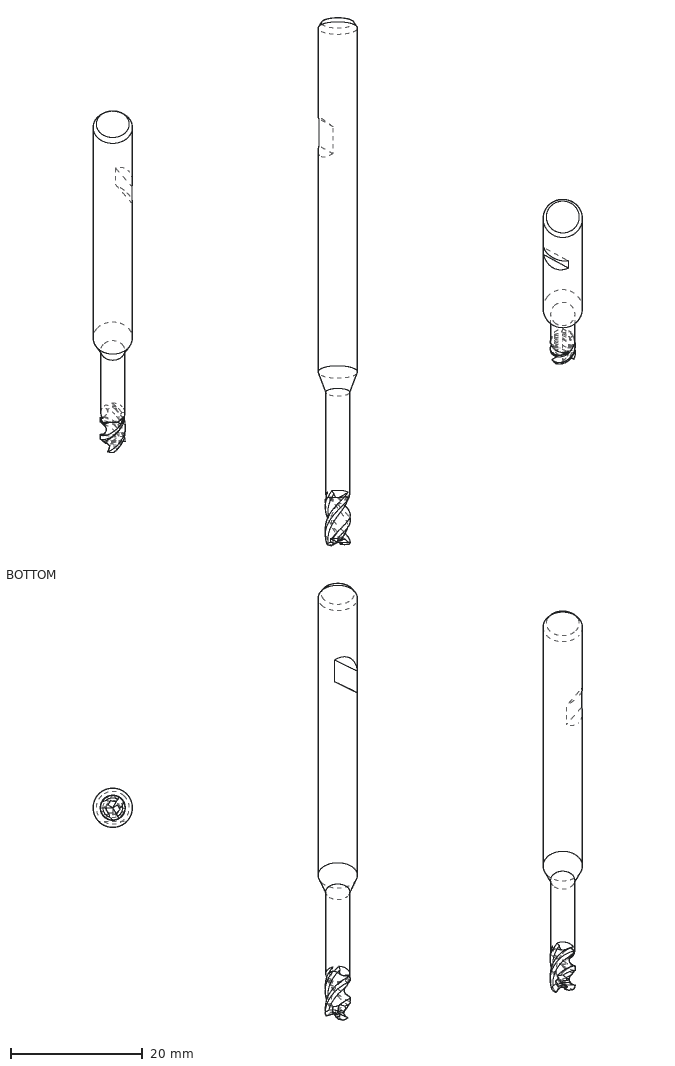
import cadquery as cq
import math

total_length = 83.0
cutter_length = 6.8
runout_top = 7.7
neck_top = 24.0
cone_top = 27.2

shank_radius = 3.0
neck_radius = 1.8
cutter_radius = 1.9
core_radius = 1.0

chamfer_height = 0.8
chamfer_width = 0.5

flat_center_z = 65.2
flat_bottom_length = 4.3
flat_depth = 0.9

tooth_count = 3
helix_lead = 13.3
first_tip_angle = 60.0
tooth_pitch = 360.0 / tooth_count
land_angle = 28.0
heel_angle = 48.0
heel_radius = 1.5
flute_bottom_angle = 84.0

gash_depth = 0.5
gash_width = 0.8
gash_offset = -gash_width


def polar(radius, angle):
    """Point at a radius and an angle in degrees."""
    return (
        radius * math.cos(math.radians(angle)),
        radius * math.sin(math.radians(angle)),
    )


def twist_angle(height):
    """Rotation of the helix over a height, in degrees."""
    return 360.0 * height / helix_lead


def fluted_bar(bottom, top):
    """Twisted bar with one land, heel and flute for each tooth."""
    start_angle = first_tip_angle + twist_angle(bottom)
    section = cq.Workplane("XY", origin=(0, 0, bottom)).moveTo(*polar(cutter_radius, start_angle))
    for tooth in range(tooth_count):
        tip = start_angle + tooth * tooth_pitch
        section = (
            section.threePointArc(
                polar(cutter_radius, tip + land_angle / 2),
                polar(cutter_radius, tip + land_angle),
            )
            .lineTo(*polar(heel_radius, tip + heel_angle))
            .threePointArc(
                polar(core_radius, tip + flute_bottom_angle),
                polar(cutter_radius, tip + tooth_pitch),
            )
        )
    height = top - bottom
    return section.close().twistExtrude(height, twist_angle(height))


def end_gash(tooth):
    """Shallow straight slot in the end face, in front of one tooth's cutting edge."""
    return (
        cq.Workplane("XY")
        .box(cutter_radius * 2, gash_width, gash_depth, centered=(False, False, False))
        .translate((0, gash_offset, 0))
        .rotate((0, 0, 0), (0, 0, 1), first_tip_angle + tooth * tooth_pitch)
    )


def make_cutter():
    """Fluted cutting head with gashed end teeth."""
    cutter = fluted_bar(0, cutter_length)
    for tooth in range(tooth_count):
        cutter = cutter.cut(end_gash(tooth))
    return cutter


def flute_runout():
    """Lower end of the neck, where the flutes rise out to its surface."""
    height = runout_top - cutter_length
    neck = cq.Workplane("XY", origin=(0, 0, cutter_length)).circle(neck_radius).extrude(height)
    widening_core = cq.Workplane(
        cq.Solid.makeCone(core_radius, neck_radius, height, pnt=cq.Vector(0, 0, cutter_length))
    )
    return fluted_bar(cutter_length, runout_top).intersect(neck).union(widening_core)


def clamping_flat():
    """Trapezoidal prism removed from the +Y side of the shank."""
    half_bottom = flat_bottom_length / 2
    half_top = half_bottom + flat_depth
    floor_y = shank_radius - flat_depth
    return (
        cq.Workplane("YZ")
        .polyline([
            (floor_y, flat_center_z - half_bottom),
            (shank_radius, flat_center_z - half_top),
            (shank_radius, flat_center_z + half_top),
            (floor_y, flat_center_z + half_bottom),
        ])
        .close()
        .extrude(shank_radius, both=True)
    )


def make_shank():
    """Chamfered shank, cone and neck turned about Z, with the flat and the flute runout."""
    turned = (
        cq.Workplane("YZ")
        .polyline([
            (0, runout_top),
            (-neck_radius, runout_top),
            (-neck_radius, neck_top),
            (-shank_radius, cone_top),
            (-shank_radius, total_length - chamfer_height),
            (-shank_radius + chamfer_width, total_length),
            (0, total_length),
        ])
        .close()
        .revolve(360, (0, 0, 0), (0, 1, 0))
    )
    return turned.cut(clamping_flat()).union(flute_runout())


shank = make_shank()
cutter = make_cutter()

result = cq.Compound.makeCompound([shank.val(), cutter.val()])